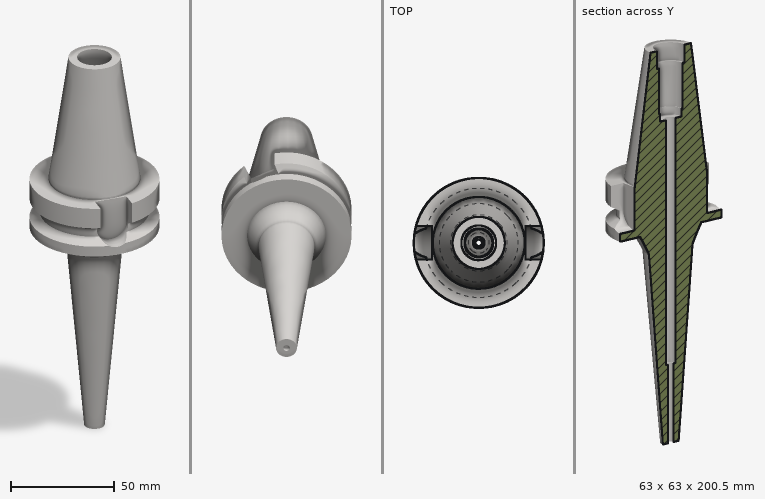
import cadquery as cq

total_length = 200.5
gauge_plane = 135.0
flange_top = 134.0
groove_top = 120.6
groove_bottom = 116.2
flange_bottom = 108.0
neck_bottom = 98.2

taper_small_radius = 12.6
taper_large_radius = 22.2
flange_radius = 31.5
groove_radius = 26.5
neck_root_radius = 19.0
nose_large_radius = 13.6
nose_tip_radius = 5.0

flank_height = 2.8

neck_sag = 0.2

slot_width = 16.2
slot_depth = 21.8
slot_floor_distance = 22.6

pilot_radius = 8.5
pilot_depth = 9.0
thread_radius = 7.0
thread_depth = 32.0
thread_step_radius = 6.6
thread_step_depth = 36.0
coolant_radius = 2.8
coolant_bottom = 40.0
through_radius = 1.6


def make_body():
    """Revolve the taper, grooved flange, neck and nose about Z."""
    neck_middle_radius = (neck_root_radius + nose_large_radius) / 2 - neck_sag
    neck_middle_height = (flange_bottom + neck_bottom) / 2
    return (
        cq.Workplane("XZ")
        .moveTo(0, 0)
        .lineTo(nose_tip_radius, 0)
        .lineTo(nose_large_radius, neck_bottom)
        .threePointArc((neck_middle_radius, neck_middle_height), (neck_root_radius, flange_bottom))
        .lineTo(flange_radius, flange_bottom)
        .lineTo(flange_radius, groove_bottom - flank_height)
        .lineTo(groove_radius, groove_bottom)
        .lineTo(groove_radius, groove_top)
        .lineTo(flange_radius, groove_top + flank_height)
        .lineTo(flange_radius, flange_top)
        .lineTo(taper_large_radius, flange_top)
        .lineTo(taper_large_radius, gauge_plane)
        .lineTo(taper_small_radius, total_length)
        .lineTo(0, total_length)
        .close()
        .revolve(360, (0, 0, 0), (0, 1, 0))
    )


def make_bore(radius, bottom):
    """Cylinder from the given height up to the small end of the taper."""
    return cq.Workplane("XY").workplane(offset=bottom).circle(radius).extrude(total_length - bottom)


def make_drive_slot(side):
    """Round-bottomed slot cutter on the +X (side = 1) or -X (side = -1) flank."""
    half_width = slot_width / 2
    slot_bottom = flange_top - slot_depth
    arc_start = slot_bottom + half_width
    return (
        cq.Workplane("YZ")
        .workplane(offset=side * slot_floor_distance)
        .moveTo(-half_width, flange_top)
        .lineTo(-half_width, arc_start)
        .threePointArc((0, slot_bottom), (half_width, arc_start))
        .lineTo(half_width, flange_top)
        .close()
        .extrude(side * flange_radius)
    )


result = make_body()

for slot_side in (-1, 1):
    result = result.cut(make_drive_slot(slot_side))

bores = (
    (pilot_radius, total_length - pilot_depth),
    (thread_radius, total_length - thread_depth),
    (thread_step_radius, total_length - thread_step_depth),
    (coolant_radius, coolant_bottom),
    (through_radius, 0),
)
for bore_radius, bore_bottom in bores:
    result = result.cut(make_bore(bore_radius, bore_bottom))